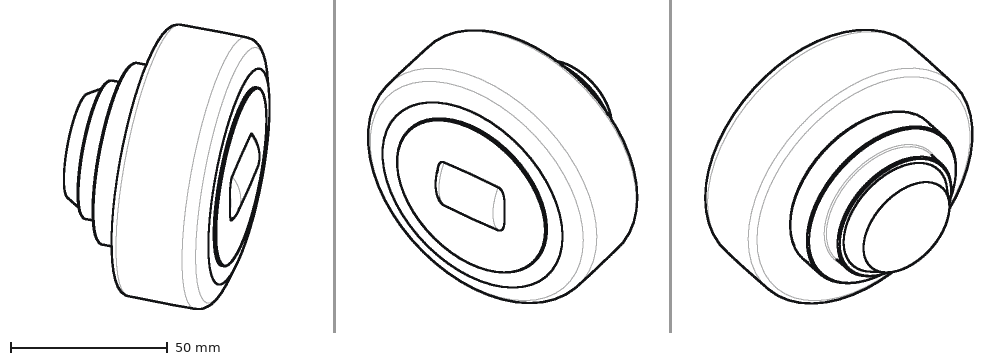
import cadquery as cq
import math

DIAGONAL = math.sqrt(0.5)

overall_length = 57.0
roller_diameter = 88.4

tip_angle = 30.0
tip_length = 6.0
tip_end_diameter = 34.0
pin_diameter = 45.0
pin_end = 13.0
root_fillet = 0.5

flange_diameter = 59.0
flange_end = 23.0
edge_chamfer = 0.5
neck_diameter = flange_diameter - 2 * edge_chamfer

roller_start = 23.2
roller_end = 53.2
main_crown_radius = 500.0
back_fillet = 2.0
front_fillet = 4.0
front_slope = 20.0
slope_length = 2.34

cover_diameter = 58.0
cover_end = 54.0
cover_chamfer = 0.25

side_roller_radius = 16.0
side_roller_length = 26.0
side_roller_fillet = 2.5
side_crown_radius = 400.0


def crown_drop(crown_radius, half_length):
    """Depth of the crown arc below its peak at a distance from its middle."""
    return crown_radius - math.sqrt(crown_radius**2 - half_length**2)


def turned(profile):
    """Revolve a closed XY profile about the X axis."""
    return profile.revolve(360, (0, 0, 0), (1, 0, 0))


def disc(diameter, start, end):
    """Plain round disc on the X axis."""
    return cq.Workplane("YZ").workplane(offset=start).circle(diameter / 2).extrude(end - start)


def make_stud():
    """Conical tip, pin with a rounded inside corner at its root, and flange."""
    tip_end_radius = tip_end_diameter / 2
    tip_base_radius = tip_end_radius + tip_length * math.tan(math.radians(tip_angle))
    tip = turned(
        cq.Workplane("XY").polyline([
            (0, 0),
            (0, tip_end_radius),
            (tip_length, tip_base_radius),
            (tip_length, 0),
        ]).close()
    )
    pin = disc(pin_diameter, tip_length, pin_end).faces("<X").edges().chamfer(edge_chamfer)
    flange = disc(flange_diameter, pin_end, flange_end).edges().chamfer(edge_chamfer)
    pin_radius = pin_diameter / 2
    root_center = (pin_end - root_fillet, pin_radius + root_fillet)
    root_offset = root_fillet * DIAGONAL
    root = turned(
        cq.Workplane("XY")
        .moveTo(root_center[0], 0)
        .lineTo(root_center[0], pin_radius)
        .threePointArc(
            (root_center[0] + root_offset, root_center[1] - root_offset),
            (pin_end, root_center[1]),
        )
        .lineTo(pin_end, 0)
        .close()
    )
    return tip.union(pin).union(root).union(flange)


def make_main_roller():
    """Crowned roller with a rounded back edge and a rounded, sloping front edge."""
    peak_radius = roller_diameter / 2
    turn = math.radians(90 - front_slope)

    fillet_length = front_fillet * math.sin(turn)
    fillet_drop = front_fillet * (1 - math.cos(turn))
    rim_start = roller_start + back_fillet
    slope_start = roller_end - slope_length
    rim_end = slope_start - fillet_length
    rim_middle = (rim_start + rim_end) / 2
    rim_radius = peak_radius - crown_drop(main_crown_radius, (rim_end - rim_start) / 2)
    slope_start_radius = rim_radius - fillet_drop
    front_face_radius = slope_start_radius - slope_length * math.tan(turn)

    half_turn = turn / 2
    front_mid = (
        rim_end + front_fillet * math.sin(half_turn),
        rim_radius - front_fillet * (1 - math.cos(half_turn)),
    )
    back_mid = (
        rim_start - back_fillet * DIAGONAL,
        rim_radius - back_fillet * (1 - DIAGONAL),
    )
    return turned(
        cq.Workplane("XY")
        .moveTo(roller_start, 0)
        .lineTo(roller_start, rim_radius - back_fillet)
        .threePointArc(back_mid, (rim_start, rim_radius))
        .threePointArc((rim_middle, peak_radius), (rim_end, rim_radius))
        .threePointArc(front_mid, (slope_start, slope_start_radius))
        .lineTo(roller_end, front_face_radius)
        .lineTo(roller_end, 0)
        .close()
    )


def make_side_roller():
    """Part of the crowned side roller that stands out of the cover."""
    axis_x = overall_length - side_roller_radius
    half_length = side_roller_length / 2
    crown_half = half_length - side_roller_fillet
    edge_x = overall_length - crown_drop(side_crown_radius, crown_half)
    fillet_x = edge_x - side_roller_fillet
    fillet_mid_x = fillet_x + side_roller_fillet * DIAGONAL
    fillet_mid_y = crown_half + side_roller_fillet * DIAGONAL
    roller = (
        cq.Workplane("XY")
        .moveTo(axis_x, -half_length)
        .lineTo(fillet_x, -half_length)
        .threePointArc((fillet_mid_x, -fillet_mid_y), (edge_x, -crown_half))
        .threePointArc((overall_length, 0), (edge_x, crown_half))
        .threePointArc((fillet_mid_x, fillet_mid_y), (fillet_x, half_length))
        .lineTo(axis_x, half_length)
        .close()
        .revolve(360, (axis_x, 0, 0), (axis_x, 1, 0))
    )
    return roller.intersect(disc(cover_diameter, roller_end, overall_length))


neck = disc(neck_diameter, flange_end, roller_start)
cover = disc(cover_diameter, roller_end, cover_end).faces(">X").edges().chamfer(cover_chamfer)

result = make_stud().union(neck).union(make_main_roller()).union(cover).union(make_side_roller())